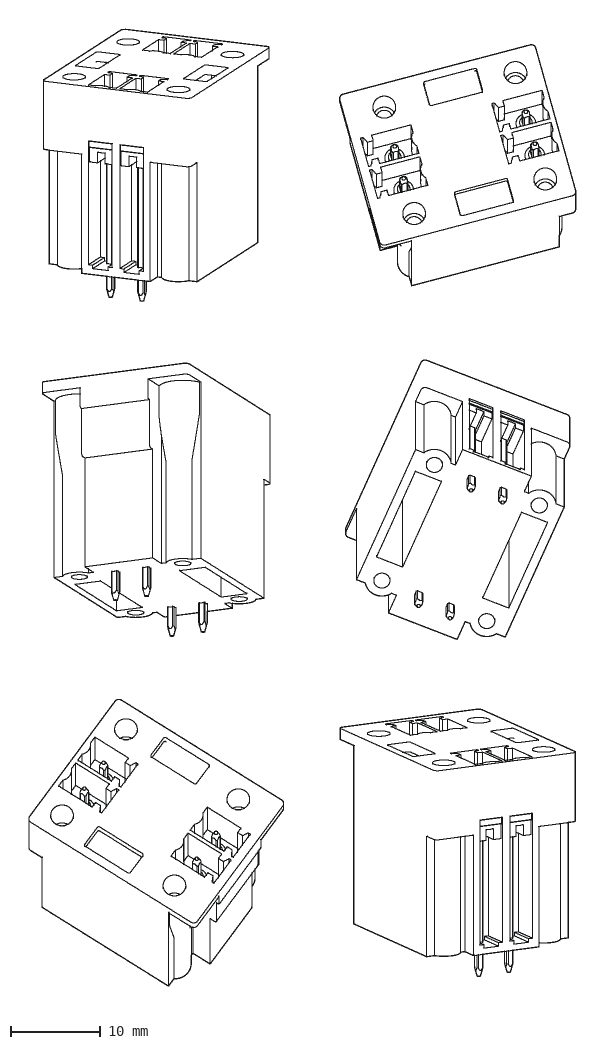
import cadquery as cq
import math

WIDTH = 18.02
DEPTH = 22.7
HEIGHT = 21.84
CORNER_RADIUS = 0.53

BODY_FRONT = 2.03
BODY_BACK = 19.13
OVERHANG = 7.95
FLANGE_THICKNESS = 1.28
CENTRE_BLOCK_WIDTH = 8.33

BACK_STEP_Y = 22.3
BACK_STEP_Z = HEIGHT - 3.6
BACK_FOOT_Y = 21.45
BACK_FOOT_Z = HEIGHT - 9.14
UPPER_EDGE_RADIUS = 0.15
LOWER_EDGE_RADIUS = 0.3

PITCH_X = 3.82
PITCH_Y = 15.19
FRONT_ROW_Y = 2.94
ROWS_Y = [FRONT_ROW_Y, FRONT_ROW_Y + PITCH_Y]
COLUMNS_X = [-PITCH_X / 2, PITCH_X / 2]

SCREW_X = 6.35
SCREW_HOLE_DIAMETER = 1.8
COUNTERBORE_DIAMETER = 2.54
COUNTERBORE_DEPTH = 5.02
BOSS_RADIUS = 1.88
BACK_BOSS_RADIUS = 2.69
BACK_BOSS_CONE_TOP = HEIGHT - 5.02
BACK_BOSS_CONE_BASE = HEIGHT - 10.15

OPENING_X = 6.58
OPENING_WIDTH = 2.85
OPENING_LENGTH = 6.15
OPENING_Y = 10.1
OPENING_RADIUS = 0.2
OPENING_RIM = 1.13
CAVITY_LENGTH = 11.25
CAVITY_INNER_STEP = 0.3

POCKET_WIDTH = 3.4
POCKET_DEPTH = 6.28
POCKET_FRONT = -2.33
POCKET_SHOULDER = 2.2
POCKET_NECK_TOP = 2.89
POCKET_LIP = 3.21
POCKET_BACK = 3.5
POCKET_NECK_WIDTH = 2.08
RIB_WIDTH = 1.65
RIB_HEIGHT = 0.33
POCKET_FLOOR_Z = HEIGHT - POCKET_DEPTH
COLLAR_BASE_RADIUS = 1.1
COLLAR_MIDDLE_RADIUS = 0.88
COLLAR_TOP_RADIUS = 0.7
COLLAR_TIER_HEIGHTS = (0.3, 0.15)

PIN_SIZE = 0.8
PIN_CHAMFER = 0.13
PIN_TOP_Z = 20.88
PIN_BOTTOM_Z = -3.26
PIN_TIP_RADIUS = 0.2
PIN_TIP_LENGTH = 0.73

WINDOW_WIDTH = 2.85
WINDOW_BOTTOM = 1.1
WINDOW_TOP = HEIGHT - 6.35
WINDOW_HEAD_BASE = HEIGHT - 7.13
WINDOW_WALL_BASE = HEIGHT - 8.85
WINDOW_HEAD_RECESS = 0.2
WINDOW_RECESS = 0.33
WINDOW_DEPTH = FRONT_ROW_Y + PIN_SIZE / 2
GROOVE_WIDTH = 1.85
GROOVE_BOTTOM = 0.7
NOTCH_WIDTH = 0.93
NOTCH_TOP = HEIGHT - 7.63


def block(x_size, y_min, y_max, z_min, z_max, x_centre=0):
    """Box centred on x_centre in X and spanning the given Y and Z ranges."""
    box = cq.Workplane("XY").box(x_size, y_max - y_min, z_max - z_min, centered=(True, False, False))
    return box.translate((x_centre, y_min, z_min))


def rod(radius, x, y, z_min, z_max):
    """Vertical cylinder."""
    return cq.Workplane("XY", origin=(x, y, z_min)).circle(radius).extrude(z_max - z_min)


def cone(base_radius, top_radius, x, y, z_min, z_max):
    """Vertical truncated cone."""
    solid = cq.Solid.makeCone(base_radius, top_radius, z_max - z_min, cq.Vector(x, y, z_min))
    return cq.Workplane(solid)


def centre_block():
    """Full-depth middle part of the housing with the stepped back."""
    half_width = CENTRE_BLOCK_WIDTH / 2
    outline = [
        (0, 0),
        (BACK_FOOT_Y, 0),
        (BACK_FOOT_Y, BACK_FOOT_Z),
        (BACK_STEP_Y, BACK_FOOT_Z),
        (BACK_STEP_Y, BACK_STEP_Z),
        (DEPTH, BACK_STEP_Z),
        (DEPTH, HEIGHT),
        (0, HEIGHT),
    ]
    solid = cq.Workplane("YZ", origin=(-half_width, 0, 0)).polyline(outline).close().extrude(CENTRE_BLOCK_WIDTH)
    for y, z, radius in [
        (BACK_STEP_Y, BACK_FOOT_Z, LOWER_EDGE_RADIUS),
        (DEPTH, BACK_STEP_Z, UPPER_EDGE_RADIUS),
    ]:
        solid = solid.edges(cq.selectors.NearestToPointSelector((0, y, z))).fillet(radius)
    return solid


def screw_bosses():
    """Round bosses along the front and back faces, the back ones widening towards the top."""
    bosses = cq.Workplane("XY")
    front_y, back_y = ROWS_Y
    flange_z = HEIGHT - FLANGE_THICKNESS
    for x in (-SCREW_X, SCREW_X):
        bosses = bosses.add(rod(BOSS_RADIUS, x, front_y, 0, HEIGHT - OVERHANG))
        bosses = bosses.add(rod(BOSS_RADIUS, x, back_y, 0, BACK_BOSS_CONE_BASE))
        bosses = bosses.add(
            cone(BOSS_RADIUS, BACK_BOSS_RADIUS, x, back_y, BACK_BOSS_CONE_BASE, BACK_BOSS_CONE_TOP)
        )
        bosses = bosses.add(rod(BACK_BOSS_RADIUS, x, back_y, BACK_BOSS_CONE_TOP, flange_z))
    return bosses.combine().intersect(block(WIDTH, 0, DEPTH, 0, HEIGHT))


def outer_shape():
    """Solid housing before any opening is cut."""
    lower_body = block(WIDTH, BODY_FRONT, BODY_BACK, 0, HEIGHT)
    front_block = block(WIDTH, 0, BODY_BACK, HEIGHT - OVERHANG, HEIGHT).edges("|Z and <Y").fillet(CORNER_RADIUS)
    flange = block(WIDTH, 0, DEPTH, HEIGHT - FLANGE_THICKNESS, HEIGHT).edges("|Z").fillet(CORNER_RADIUS)
    return lower_body.union(front_block).union(flange).union(centre_block()).union(screw_bosses())


def screw_holes():
    """Counterbored through holes in the four bosses."""
    centres = [(x, y) for x in (-SCREW_X, SCREW_X) for y in ROWS_Y]
    holes = cq.Workplane("XY").pushPoints(centres).circle(SCREW_HOLE_DIAMETER / 2).extrude(HEIGHT)
    counterbores = (
        cq.Workplane("XY", origin=(0, 0, HEIGHT))
        .pushPoints(centres)
        .circle(COUNTERBORE_DIAMETER / 2)
        .extrude(-COUNTERBORE_DEPTH)
    )
    return holes.union(counterbores)


def side_opening(side):
    """Rectangular opening through the top rim with a wider cavity below; side is -1 or 1."""
    y_min = OPENING_Y - OPENING_LENGTH / 2
    x = side * OPENING_X
    opening = block(OPENING_WIDTH, y_min, y_min + OPENING_LENGTH, 0, HEIGHT, x)
    opening = opening.edges("|Z").fillet(OPENING_RADIUS)
    cavity_y = OPENING_Y - CAVITY_LENGTH / 2
    cavity_x = x - side * CAVITY_INNER_STEP / 2
    cavity_width = OPENING_WIDTH + CAVITY_INNER_STEP
    cavity = block(cavity_width, cavity_y, cavity_y + CAVITY_LENGTH, 0, HEIGHT - OPENING_RIM, cavity_x)
    return opening.union(cavity)


def mating_pocket(x, y):
    """Keyed plug pocket around a pin, leaving a two-tier conical collar standing on its floor."""
    half_width = POCKET_WIDTH / 2
    half_neck = POCKET_NECK_WIDTH / 2
    half_rib = RIB_WIDTH / 2
    pocket = (
        cq.Workplane("XY", origin=(x, y, POCKET_FLOOR_Z))
        .moveTo(-half_width, POCKET_FRONT)
        .lineTo(-half_rib, POCKET_FRONT)
        .threePointArc((0, POCKET_FRONT + RIB_HEIGHT), (half_rib, POCKET_FRONT))
        .lineTo(half_width, POCKET_FRONT)
        .lineTo(half_width, POCKET_SHOULDER)
        .lineTo(half_neck, POCKET_SHOULDER)
        .lineTo(half_neck, POCKET_NECK_TOP)
        .lineTo(half_width, POCKET_LIP)
        .lineTo(half_width, POCKET_BACK)
        .lineTo(-half_width, POCKET_BACK)
        .lineTo(-half_width, POCKET_LIP)
        .lineTo(-half_neck, POCKET_NECK_TOP)
        .lineTo(-half_neck, POCKET_SHOULDER)
        .lineTo(-half_width, POCKET_SHOULDER)
        .close()
        .extrude(POCKET_DEPTH)
    )
    middle_z = POCKET_FLOOR_Z + COLLAR_TIER_HEIGHTS[0]
    top_z = middle_z + COLLAR_TIER_HEIGHTS[1]
    lower_tier = cone(COLLAR_BASE_RADIUS, COLLAR_MIDDLE_RADIUS, x, y, POCKET_FLOOR_Z, middle_z)
    upper_tier = cone(COLLAR_MIDDLE_RADIUS, COLLAR_TOP_RADIUS, x, y, middle_z, top_z)
    return pocket.cut(lower_tier.union(upper_tier))


def front_window(x):
    """Tall front window with a stepped, notched head and a narrow groove in its floor."""
    outline = [
        (0, WINDOW_BOTTOM),
        (WINDOW_DEPTH, WINDOW_BOTTOM),
        (WINDOW_DEPTH, WINDOW_WALL_BASE),
        (WINDOW_RECESS, WINDOW_WALL_BASE),
        (WINDOW_RECESS, WINDOW_HEAD_BASE),
        (WINDOW_HEAD_RECESS, WINDOW_HEAD_BASE),
        (WINDOW_HEAD_RECESS, WINDOW_TOP),
        (0, WINDOW_TOP),
    ]
    window = (
        cq.Workplane("YZ", origin=(x - WINDOW_WIDTH / 2, 0, 0)).polyline(outline).close().extrude(WINDOW_WIDTH)
    )
    groove = block(GROOVE_WIDTH, 0, WINDOW_DEPTH, GROOVE_BOTTOM, WINDOW_BOTTOM, x)
    notch = block(NOTCH_WIDTH, 0, WINDOW_DEPTH, WINDOW_WALL_BASE, NOTCH_TOP, x)
    return window.union(groove).union(notch)


def pin_bar(x, y):
    """Square bar with chamfered long edges."""
    half = PIN_SIZE / 2
    return block(PIN_SIZE, y - half, y + half, PIN_BOTTOM_Z, PIN_TOP_Z, x).edges("|Z").chamfer(PIN_CHAMFER)


def make_pin(x, y):
    """Square terminal pin with conical tips at both ends."""
    corner_radius = PIN_SIZE / math.sqrt(2)
    slope = (PIN_SIZE / 2 - PIN_TIP_RADIUS) / PIN_TIP_LENGTH
    cone_length = (corner_radius - PIN_TIP_RADIUS) / slope
    envelope = (
        cq.Workplane("XZ")
        .polyline([
            (0, PIN_BOTTOM_Z),
            (PIN_TIP_RADIUS, PIN_BOTTOM_Z),
            (corner_radius, PIN_BOTTOM_Z + cone_length),
            (corner_radius, PIN_TOP_Z - cone_length),
            (PIN_TIP_RADIUS, PIN_TOP_Z),
            (0, PIN_TOP_Z),
        ])
        .close()
        .revolve(360, (0, 0), (0, 1))
        .translate((x, y, 0))
    )
    return pin_bar(x, y).intersect(envelope)


def make_housing():
    """Housing with all openings and a matching hole for every pin."""
    housing = outer_shape().cut(screw_holes())
    for side in (-1, 1):
        housing = housing.cut(side_opening(side))
    for x in COLUMNS_X:
        housing = housing.cut(front_window(x))
        for y in ROWS_Y:
            housing = housing.cut(mating_pocket(x, y))
            housing = housing.cut(pin_bar(x, y))
    return housing


housing = make_housing()
pins = [make_pin(x, y) for x in COLUMNS_X for y in ROWS_Y]

result = cq.Compound.makeCompound([housing.val(), *[pin.val() for pin in pins]])